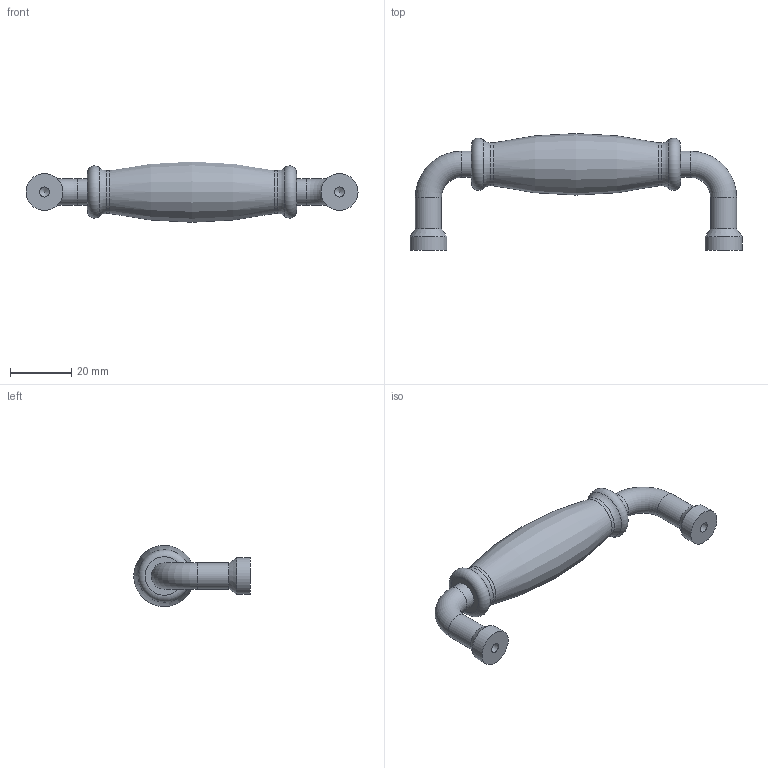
import cadquery as cq
import math


HOLE_SPACING = 96.0
GRIP_AXIS_Y = 28.0

ROD_RADIUS = 4.25
BEND_RADIUS = 10.75

FOOT_RADIUS = 6.0
FOOT_HEIGHT = 4.5
FOOT_TAPER_HEIGHT = 2.5

SCREW_HOLE_RADIUS = 1.65
SCREW_HOLE_DEPTH = 10.0
DRILL_POINT_ANGLE = 118.0

GRIP_HALF_LENGTH = 34.0
GRIP_MID_RADIUS = 10.0
NECK_RADIUS = 7.0
BARREL_HALF_LENGTH = 26.75
BEAD_PEAK_RADIUS = 8.5
BEAD_ROUND = 2.25
NECK_FILLET = 3.5

LEG_X = HOLE_SPACING / 2


def make_rod():
    """Round rod: up one leg, around a bend, along the grip axis and down the other leg."""
    bend_start_y = GRIP_AXIS_Y - BEND_RADIUS
    bend_end_x = LEG_X - BEND_RADIUS
    path = (
        cq.Workplane("XY")
        .moveTo(-LEG_X, 0)
        .lineTo(-LEG_X, bend_start_y)
        .tangentArcPoint((-bend_end_x, GRIP_AXIS_Y), relative=False)
        .lineTo(bend_end_x, GRIP_AXIS_Y)
        .tangentArcPoint((LEG_X, bend_start_y), relative=False)
        .lineTo(LEG_X, 0)
    )
    return cq.Workplane("XZ").center(-LEG_X, 0).circle(ROD_RADIUS).sweep(path)


def make_foot(x):
    """Cylindrical foot that tapers up to the rod diameter."""
    taper_top = FOOT_HEIGHT + FOOT_TAPER_HEIGHT
    profile = (
        cq.Workplane("XY")
        .polyline([
            (0, 0),
            (FOOT_RADIUS, 0),
            (FOOT_RADIUS, FOOT_HEIGHT),
            (ROD_RADIUS, taper_top),
            (0, taper_top),
        ])
        .close()
    )
    return profile.revolve(360, (0, 0), (0, 1)).translate((x, 0, 0))


def make_screw_hole(x):
    """Blind screw hole with a conical drill point, as a solid to cut away."""
    point_depth = SCREW_HOLE_RADIUS / math.tan(math.radians(DRILL_POINT_ANGLE / 2))
    profile = (
        cq.Workplane("XY")
        .polyline([
            (0, 0),
            (SCREW_HOLE_RADIUS, 0),
            (SCREW_HOLE_RADIUS, SCREW_HOLE_DEPTH),
            (0, SCREW_HOLE_DEPTH + point_depth),
        ])
        .close()
    )
    return profile.revolve(360, (0, 0), (0, 1)).translate((x, 0, 0))


def make_grip():
    """Turned grip: a bulging barrel between two necks, each ended by a rounded bead."""
    bead_x = GRIP_HALF_LENGTH - BEAD_ROUND
    bead_r = BEAD_PEAK_RADIUS - BEAD_ROUND

    fillet_r = NECK_RADIUS + NECK_FILLET
    center_distance = BEAD_ROUND + NECK_FILLET
    fillet_x = bead_x - math.sqrt(center_distance**2 - (fillet_r - bead_r) ** 2)
    bead_share = BEAD_ROUND / center_distance
    tangent_x = bead_x + bead_share * (fillet_x - bead_x)
    tangent_r = bead_r + bead_share * (fillet_r - bead_r)

    profile = (
        cq.Workplane("XY")
        .moveTo(-GRIP_HALF_LENGTH, 0)
        .lineTo(-GRIP_HALF_LENGTH, bead_r)
        .tangentArcPoint((-tangent_x, tangent_r), relative=False)
        .tangentArcPoint((-fillet_x, NECK_RADIUS), relative=False)
        .lineTo(-BARREL_HALF_LENGTH, NECK_RADIUS)
        .threePointArc((0, GRIP_MID_RADIUS), (BARREL_HALF_LENGTH, NECK_RADIUS))
        .lineTo(fillet_x, NECK_RADIUS)
        .tangentArcPoint((tangent_x, tangent_r), relative=False)
        .tangentArcPoint((GRIP_HALF_LENGTH, bead_r), relative=False)
        .lineTo(GRIP_HALF_LENGTH, 0)
        .close()
    )
    return profile.revolve(360, (0, 0), (1, 0)).translate((0, GRIP_AXIS_Y, 0))


result = make_rod().union(make_grip())
for leg_x in (-LEG_X, LEG_X):
    result = result.union(make_foot(leg_x)).cut(make_screw_hole(leg_x))